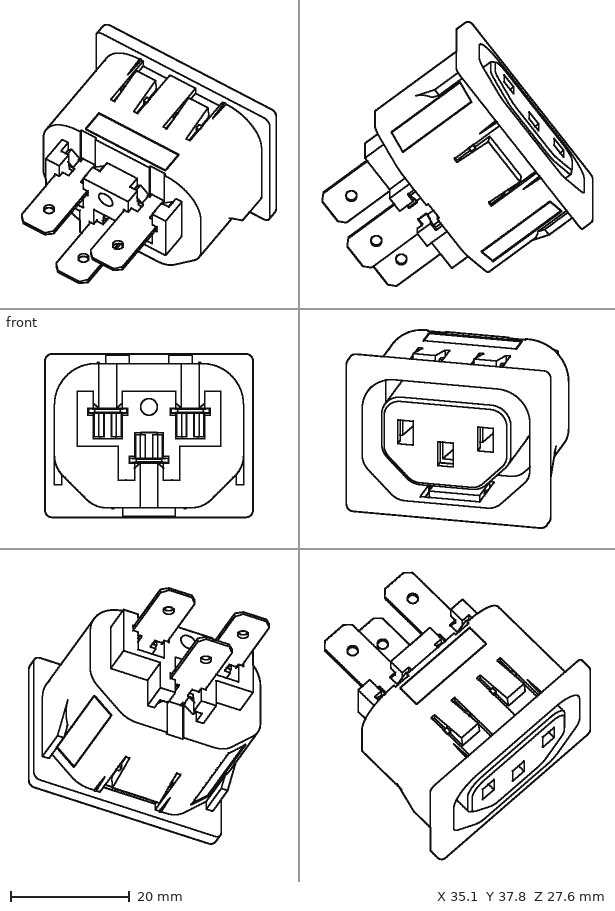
import cadquery as cq
import math


flange_width = 35.05
flange_height = 27.58
flange_thickness = 2.6
flange_corner_radius = 1.25
flange_front_radius = 0.8

body_half_width = 15.93
body_half_height = 12.15
body_length = 18.5
body_top_radius = 6.95
body_chamfer = 6.8
body_blend_radius = 4.73
wall = 1.35

plug_half_width = 11.25
plug_half_height = 7.7
plug_top_radius = 3.4
plug_chamfer = 5.35
plug_blend_radius = 3.4
plug_front = 3.03
plug_front_chamfer = 0.55
groove_floor = -13.25

wing_thickness = 1.2
wing_bottom = -8.3
wing_bottom_length = 5.83
wing_top_length = 9.85

window_length = 9.87
latch_gap = 0.75
latch_tip_height = 1.4
latch_base_y = -2.95
latch_tip_y = -3.25
top_latch_width = 3.9
top_latch_x = 5.3
bottom_latch_width = 8.8
bridge_front = -5.95
bridge_length = 0.95
bridge_drop = 0.3
bridge_thickness = 0.55

rib_radius = 0.2
rib_length = 3.82
top_rib_x = 8.55
bottom_rib_x = 6.1

label_depth = 0.2
top_label_width = 16.1
top_label_front = -13.4
top_label_length = 4.1
side_label_front = -1.85
side_label_length = 14.5
side_label_width = 4.55
side_label_z = -8.65

block_half_width = 12.1
block_half_height = 7.5
block_stem_half_width = 5.22
block_shoulder_z = -1.8
block_length = 5.0
block_hole_diameter = 2.8
block_hole_z = 4.85

terminal_spacing = 6.95
seat_half_width = 2.42
seat_bottom = -0.5
seat_top = 4.65
seat_front = 1.5
slot_half_width = 3.35
slot_bottom = 3.45
channel_half_width = 1.5
channel_depth = 0.38
pocket_half_width = 3.95
pocket_length = 2.15
ridge_x = 3.25
ridge_rise = 1.5
pin_slot_half_width = 1.32
pin_slot_top = 3.8

blade_width = 6.45
blade_thickness = 0.8
blade_top = 4.58
blade_tip_y = -34.8
blade_corner = 1.05
blade_bevel = 0.15
blade_hole_diameter = 1.8
blade_hole_inset = 4.55
blade_shoulder_y = -22.45
neck_half_width = 1.2
stop_front = -18.73
clip_half_width = 2.27
clip_bottom = -0.2
clip_front = -0.38
arm_rear = -17.4
arm_bend = -15.15
arm_pinch = -6.05
arm_flare = 0.75
pinch_half_gap = 0.6

wing_top = body_chamfer - body_half_height + body_blend_radius * math.tan(math.radians(22.5))
body_rear = -body_length
block_rear = body_rear - block_length
pocket_rear = body_rear - pocket_length
blade_bottom = blade_top - blade_thickness
wall_inner_z = body_half_height - wall
terminal_places = [(-terminal_spacing, 0), (terminal_spacing, 0), (0, 180)]


def box(x0, x1, y0, y1, z0, z1):
    """Box between two opposite corners."""
    return cq.Workplane("XY").box(x1 - x0, y1 - y0, z1 - z0, centered=False).translate((x0, y0, z0))


def prism_along_y(points, y_front, y_rear):
    """Extrude an XZ outline from y_front back to y_rear."""
    outline = cq.Workplane("XZ", origin=(0, y_front, 0)).polyline(points).close()
    return outline.extrude(y_front - y_rear)


def prism_along_x(points, x0, x1):
    """Extrude a YZ outline from x0 to x1."""
    return cq.Workplane("YZ", origin=(x0, 0, 0)).polyline(points).close().extrude(x1 - x0)


def place(shape, x, turn):
    """Turn a shape about the Y axis, then shift it along X."""
    return shape.rotate((0, 0, 0), (0, 1, 0), turn).translate((x, 0, 0))


def connector_prism(half_width, half_height, top_radius, chamfer, blend_radius, y_front, y_rear):
    """Prism with round top corners and blended 45-degree bottom corners."""
    chamfer_x = half_width - chamfer
    chamfer_z = chamfer - half_height
    points = [
        (-half_width, half_height),
        (half_width, half_height),
        (half_width, chamfer_z),
        (chamfer_x, -half_height),
        (-chamfer_x, -half_height),
        (-half_width, chamfer_z),
    ]
    prism = prism_along_y(points, y_front, y_rear)
    lower_half = cq.selectors.BoxSelector(
        (-2 * half_width, y_rear, -2 * half_height), (2 * half_width, y_front, 0)
    )
    prism = prism.edges("|Y").edges(lower_half).fillet(blend_radius)
    return prism.edges("|Y").edges(">Z").fillet(top_radius)


def make_flange():
    flange = box(
        -flange_width / 2, flange_width / 2, 0, flange_thickness, -flange_height / 2, flange_height / 2
    )
    flange = flange.edges("|Y").fillet(flange_corner_radius)
    return flange.faces(">Y").edges().fillet(flange_front_radius)


def make_body():
    return connector_prism(
        body_half_width, body_half_height, body_top_radius, body_chamfer, body_blend_radius, 0, body_rear
    )


def make_groove():
    """Space inside the body wall, open at the front; the plug fills its middle."""
    return connector_prism(
        body_half_width - wall,
        body_half_height - wall,
        body_top_radius - wall,
        body_chamfer - wall * (2 - math.sqrt(2)),
        body_blend_radius - wall,
        flange_thickness,
        groove_floor,
    )


def make_plug():
    plug = connector_prism(
        plug_half_width,
        plug_half_height,
        plug_top_radius,
        plug_chamfer,
        plug_blend_radius,
        plug_front,
        groove_floor,
    )
    return plug.faces(">Y").edges().chamfer(plug_front_chamfer)


def make_wing():
    """Thin wing that carries the left side wall down past the bottom chamfer."""
    profile = [
        (0, wing_top),
        (0, wing_bottom),
        (-wing_bottom_length, wing_bottom),
        (-wing_top_length, wing_top),
    ]
    return prism_along_x(profile, -body_half_width, wing_thickness - body_half_width)


def make_window(latch_width):
    """Opening through the top wall around one latch."""
    half_width = latch_width / 2 + latch_gap
    return box(-half_width, half_width, -window_length, 0, wall_inner_z, body_half_height)


def make_latch(latch_width):
    """Wedge latch rooted at the rear of its window."""
    profile = [
        (-window_length, wall_inner_z),
        (latch_base_y, wall_inner_z),
        (latch_tip_y, body_half_height + latch_tip_height),
        (-window_length, body_half_height),
    ]
    return prism_along_x(profile, -latch_width / 2, latch_width / 2)


def make_bridge(latch_width):
    """Thin web that ties the latch to both sides of its window."""
    half_width = latch_width / 2 + latch_gap
    top = body_half_height - bridge_drop
    return box(
        -half_width, half_width, bridge_front - bridge_length, bridge_front, top - bridge_thickness, top
    )


def make_crush_rib(x, z):
    """Cone half sunk in the body surface, widest at the flange."""
    cone = cq.Solid.makeCone(rib_radius, 0, rib_length, cq.Vector(x, 0, z), cq.Vector(0, -1, 0))
    return cq.Workplane(cone)


def make_top_label():
    return box(
        -top_label_width / 2,
        top_label_width / 2,
        top_label_front - top_label_length,
        top_label_front,
        body_half_height - label_depth,
        body_half_height,
    )


def make_side_label():
    """Shallow recess in the left bottom chamfer."""
    face_x = -(body_half_width + body_half_height - body_chamfer + side_label_z)
    recess = cq.Workplane("XY").box(side_label_width, side_label_length, 2 * label_depth)
    recess = recess.rotate((0, 0, 0), (0, 1, 0), 45)
    return recess.translate((face_x, side_label_front - side_label_length / 2, side_label_z))


def make_block():
    """T-shaped block that carries the terminals."""
    points = [
        (-block_half_width, block_half_height),
        (block_half_width, block_half_height),
        (block_half_width, block_shoulder_z),
        (block_stem_half_width, block_shoulder_z),
        (block_stem_half_width, -block_half_height),
        (-block_stem_half_width, -block_half_height),
        (-block_stem_half_width, block_shoulder_z),
        (-block_half_width, block_shoulder_z),
    ]
    block = prism_along_y(points, body_rear, block_rear)
    hole = cq.Workplane("XZ", origin=(0, body_rear, block_hole_z)).circle(block_hole_diameter / 2)
    return block.cut(hole.extrude(block_length))


def make_terminal_seat():
    """All the openings for one terminal, as a shape to cut away."""
    cavity = box(-seat_half_width, seat_half_width, block_rear, seat_front, seat_bottom, seat_top)
    notch = box(-seat_half_width, seat_half_width, block_rear, pocket_rear, seat_top, block_half_height)
    blade_slot = box(
        -slot_half_width, slot_half_width, block_rear, blade_shoulder_y, slot_bottom, seat_top
    )
    channel = box(
        -channel_half_width,
        channel_half_width,
        body_rear,
        body_rear + channel_depth,
        seat_top,
        body_half_height,
    )
    pin_slot = box(
        -pin_slot_half_width, pin_slot_half_width, seat_front, plug_front, seat_bottom, pin_slot_top
    )
    ridge_z = seat_top + ridge_rise
    pocket_edge_z = ridge_z - (pocket_half_width - ridge_x)
    pocket_points = [
        (-pocket_half_width, block_half_height),
        (-pocket_half_width, pocket_edge_z),
        (-ridge_x, ridge_z),
        (-channel_half_width, seat_top),
        (channel_half_width, seat_top),
        (ridge_x, ridge_z),
        (pocket_half_width, pocket_edge_z),
        (pocket_half_width, block_half_height),
    ]
    pocket = prism_along_y(pocket_points, body_rear, pocket_rear)
    return cavity.union(notch).union(blade_slot).union(channel).union(pin_slot).union(pocket)


def make_housing():
    housing = make_flange().union(make_body()).cut(make_groove()).union(make_plug())
    wing = make_wing()
    housing = housing.union(wing).union(wing.mirror("YZ")).union(make_block())

    latch_places = [
        (top_latch_width, -top_latch_x, 0),
        (top_latch_width, top_latch_x, 0),
        (bottom_latch_width, 0, 180),
    ]
    for width, x, turn in latch_places:
        housing = housing.cut(place(make_window(width), x, turn))
        housing = housing.union(place(make_latch(width), x, turn))
        housing = housing.union(place(make_bridge(width), x, turn))

    for side in (-1, 1):
        housing = housing.union(make_crush_rib(side * top_rib_x, body_half_height))
        housing = housing.union(make_crush_rib(side * bottom_rib_x, -body_half_height))

    side_label = make_side_label()
    housing = housing.cut(make_top_label()).cut(side_label).cut(side_label.mirror("YZ"))

    for x, turn in terminal_places:
        housing = housing.cut(place(make_terminal_seat(), x, turn))
    return housing


def make_blade():
    """Flat tab with cut corners, a bevelled tip and a hole."""
    half_width = blade_width / 2
    blade = box(-half_width, half_width, blade_tip_y, blade_shoulder_y, blade_bottom, blade_top)
    blade = blade.faces("<Y").edges("|X").chamfer(blade_bevel, blade_corner)
    corner_y = blade_tip_y + blade_corner
    for side in (-1, 1):
        corner = (
            cq.Workplane("XY", origin=(0, 0, blade_bottom))
            .moveTo(side * half_width, corner_y)
            .lineTo(side * half_width, blade_tip_y)
            .lineTo(side * (half_width - blade_corner), blade_tip_y)
            .close()
            .extrude(blade_thickness)
        )
        blade = blade.cut(corner)
    hole = cq.Workplane("XY", origin=(0, blade_tip_y + blade_hole_inset, blade_bottom))
    return blade.cut(hole.circle(blade_hole_diameter / 2).extrude(blade_thickness))


def make_spring_arm():
    """Right-hand arm of the clip, bent inward to a pinch and flared again at the front."""
    inner_x = clip_half_width - blade_thickness
    flare_x = pinch_half_gap + arm_flare
    inner_line = [
        (inner_x, arm_rear),
        (inner_x, arm_bend),
        (pinch_half_gap, arm_pinch),
        (flare_x, clip_front),
    ]
    outer_line = [(x + blade_thickness, y) for x, y in reversed(inner_line)]
    outline = cq.Workplane("XY", origin=(0, 0, clip_bottom)).polyline(inner_line + outer_line).close()
    return outline.extrude(blade_top - clip_bottom)


def make_strip():
    """Strip that joins the blade to the clip, with wider shoulders in the housing's pocket."""
    neck = box(
        -neck_half_width, neck_half_width, blade_shoulder_y, arm_rear, blade_bottom, blade_top
    )
    shoulders = box(
        -clip_half_width, clip_half_width, pocket_rear, stop_front, blade_bottom, blade_top
    )
    return neck.union(shoulders)


def make_clip():
    """Flat base with a spring arm on each side."""
    base = box(-clip_half_width, clip_half_width, arm_rear, clip_front, blade_bottom, blade_top)
    arm = make_spring_arm()
    return base.union(arm).union(arm.mirror("YZ"))


def make_terminal():
    return make_blade().union(make_strip()).union(make_clip())


housing = make_housing()
terminals = [place(make_terminal(), x, turn) for x, turn in terminal_places]

result = cq.Compound.makeCompound([housing.val(), *[terminal.val() for terminal in terminals]])